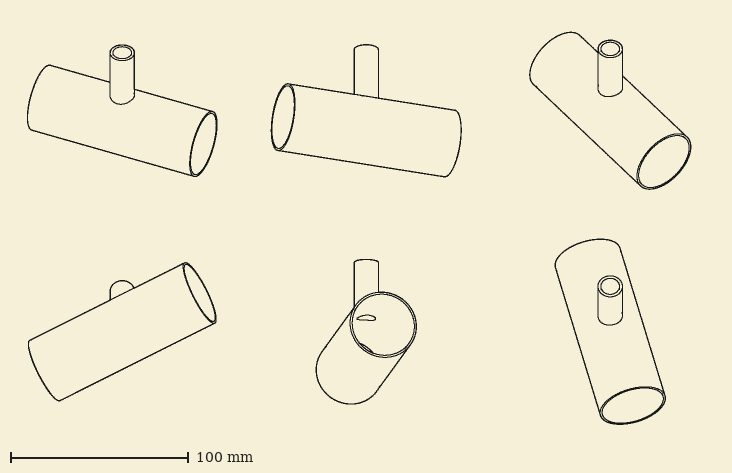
import cadquery as cq

pipe_length = 100.0
pipe_outer_diameter = 38.1
pipe_bore_diameter = 35.7

branch_outer_diameter = 13.8
branch_bore_diameter = 10.5
branch_top_height = 50.0


def pipe_cylinder(diameter):
    """Solid cylinder along the full main pipe."""
    return cq.Workplane("YZ").circle(diameter / 2).extrude(pipe_length / 2, both=True)


def branch_cylinder(diameter):
    """Solid cylinder from the main pipe axis up to the branch's open end."""
    return cq.Workplane("XY").circle(diameter / 2).extrude(branch_top_height)


outer_body = pipe_cylinder(pipe_outer_diameter).union(branch_cylinder(branch_outer_diameter))

result = outer_body.cut(pipe_cylinder(pipe_bore_diameter)).cut(branch_cylinder(branch_bore_diameter))